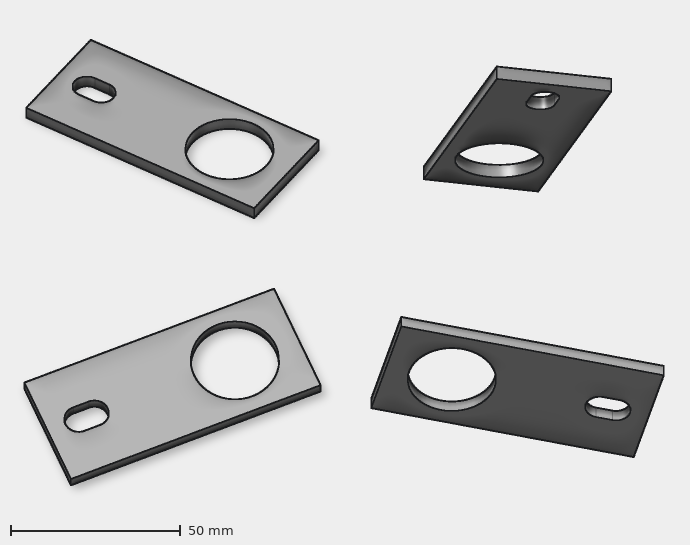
import cadquery as cq

plate_length = 80.0
plate_width = 35.0
plate_thickness = 4.0

hole_diameter = 26.0
hole_x = plate_length / 4

slot_length = 13.5
slot_width = 8.5
slot_x = -27.5

plate = cq.Workplane("XY").box(plate_length, plate_width, plate_thickness)

plate = plate.faces(">Z").workplane().center(hole_x, 0).hole(hole_diameter)
result = (
    plate.faces(">Z")
    .workplane(origin=(0, 0, 0))
    .center(slot_x, 0)
    .slot2D(slot_length, slot_width)
    .cutThruAll()
)